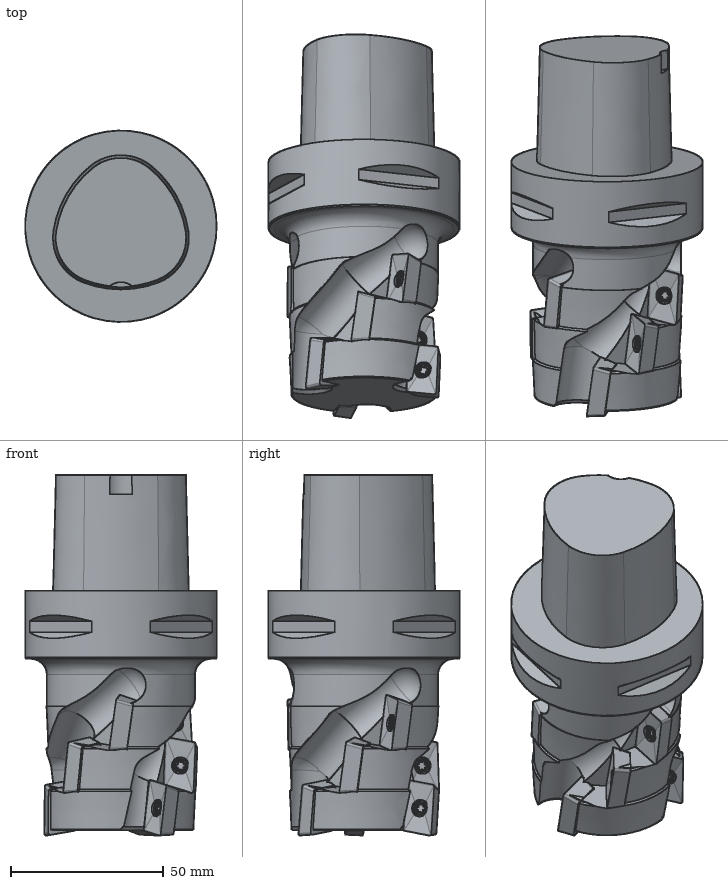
import cadquery as cq
import math

shank_height = 38.0
lobe_reach = 23.4
flat_reach = 20.8
lobe_radius = 15.7
lobe_angles = (90, 210, 330)
half_lobe_pitch = 60
diameter_taper = 1 / 20
taper_drop = shank_height * diameter_taper / 2
key_notch_radius = 5.5
key_notch_depth = 1.5
key_notch_height = 6.3

flange_radius = 31.5
flange_chamfer_start_z = -22.0
flange_bottom_z = -22.5
flange_bottom_radius = 31.2
groove_z = -11.9
groove_floor_reach = 28.0
groove_floor_half = 1.75
groove_mouth_half = 3.8
groove_overshoot = 1.0
groove_angles = (45, 135, 225, 315)

neck_radius = 24.4
neck_fillet = 5.1
row_top_radius = 24.5
row_bottom_radius = 23.9
ledge_height = 0.6
row_pitch = 14.0
top_row_start_z = -38.0
body_bottom_z = -78.8
bottom_chamfer = 0.4

flute_angles = (0, 120, 240)
row_count = 3
bottom_row_z = -71.4
bottom_row_azimuth = -176
row_twist = 40
cutting_radius = 25.2
axial_rake = 8.0
insert_width = 10.4
insert_thickness = 5.7
insert_long_corner = 9.4
insert_short_corner = 7.6
half_width = insert_width / 2
insert_corners = [
    (half_width, insert_short_corner),
    (-half_width, insert_long_corner),
    (-half_width, -insert_short_corner),
    (half_width, -insert_long_corner),
]
insert_corner_radius = 0.8
insert_clearance = 9.0
chip_hollow_depth = 0.8
chip_land = 0.3
screw_recess_diameter = 5.5
screw_recess_depth = 1.6
screw_head_diameter = 4.15
screw_head_height = 0.6
socket_diameter = 3.5
socket_lobes = 6
socket_lobe_radius = 0.5
socket_depth = 1.0
chip_space_depth = 5.0
landing_depth = 13.0
landing_top = 3.5

flute_radius = 7.0
flute_centre_reach = 20.7
flute_flare = 1.0
flute_flare_height = 1.2
flute_path = ((-192, body_bottom_z), (-184, -60), (-136, -44.5), (-85.5, -31.1))


def polar(reach, angle, z=0.0):
    return cq.Vector(reach * math.cos(math.radians(angle)), reach * math.sin(math.radians(angle)), z)


def shank_outline(inset, z):
    """Three rounded lobes joined by flatter tangent arcs, all moved inwards by the inset."""
    lobe_centre_reach = lobe_reach - lobe_radius
    reach_difference = flat_reach - lobe_radius
    flat_centre_reach = (lobe_centre_reach**2 - reach_difference**2) / (
        2 * reach_difference - lobe_centre_reach
    )
    flat_radius = flat_reach + flat_centre_reach
    to_lobe = polar(lobe_centre_reach, half_lobe_pitch) + cq.Vector(flat_centre_reach, 0)
    seam = to_lobe.normalized() * (flat_radius - inset) - cq.Vector(flat_centre_reach, 0)
    seam_from_flat = math.degrees(math.atan2(seam.y, seam.x))
    edges = []
    for lobe in lobe_angles:
        flat = lobe + half_lobe_pitch
        start = polar(seam.Length, lobe - half_lobe_pitch + seam_from_flat, z)
        middle = polar(seam.Length, flat - seam_from_flat, z)
        end = polar(seam.Length, flat + seam_from_flat, z)
        edges.append(cq.Edge.makeThreePointArc(start, polar(lobe_reach - inset, lobe, z), middle))
        edges.append(cq.Edge.makeThreePointArc(middle, polar(flat_reach - inset, flat, z), end))
    return cq.Wire.assembleEdges(edges)


def make_shank():
    base = shank_outline(0, 0)
    top = shank_outline(taper_drop, shank_height)
    shank = cq.Workplane(cq.Solid.makeLoft([base, top], True))
    notch_centre_y = -(flat_reach - taper_drop) + key_notch_depth - key_notch_radius
    notch = (
        cq.Workplane("XY", origin=(0, notch_centre_y, shank_height - key_notch_height))
        .circle(key_notch_radius)
        .extrude(key_notch_height)
    )
    return shank.cut(notch)


def make_turned_body():
    """Flange, filleted neck and stepped rows revolved about Z."""
    fillet_middle = neck_fillet * math.sqrt(0.5)
    profile = (
        cq.Workplane("XZ")
        .lineTo(flange_radius, 0)
        .lineTo(flange_radius, flange_chamfer_start_z)
        .lineTo(flange_bottom_radius, flange_bottom_z)
        .lineTo(neck_radius + neck_fillet, flange_bottom_z)
        .threePointArc(
            (neck_radius + neck_fillet - fillet_middle, flange_bottom_z - neck_fillet + fillet_middle),
            (neck_radius, flange_bottom_z - neck_fillet),
        )
        .lineTo(neck_radius, top_row_start_z)
    )
    for row in range(row_count):
        row_start_z = top_row_start_z - row * row_pitch
        is_last = row == row_count - 1
        row_end_z = body_bottom_z + bottom_chamfer if is_last else row_start_z - row_pitch + ledge_height
        profile = profile.lineTo(row_top_radius, row_start_z).lineTo(row_bottom_radius, row_end_z)
    profile = profile.lineTo(row_bottom_radius - bottom_chamfer, body_bottom_z).lineTo(0, body_bottom_z)
    return profile.close().revolve(360, (0, 0, 0), (0, 1, 0))


def make_gripper_groove(angle):
    """Groove with sloping upper and lower walls, straight across the flange at the given angle."""
    slope = (groove_mouth_half - groove_floor_half) / (flange_radius - groove_floor_reach)
    outer_reach = flange_radius + groove_overshoot
    outer_half = groove_floor_half + slope * (outer_reach - groove_floor_reach)
    return (
        cq.Workplane("XZ", origin=(0, 0, groove_z))
        .polyline([
            (groove_floor_reach, -groove_floor_half),
            (outer_reach, -outer_half),
            (outer_reach, outer_half),
            (groove_floor_reach, groove_floor_half),
        ])
        .close()
        .extrude(flange_radius, both=True)
        .rotate((0, 0, 0), (0, 0, 1), angle)
    )


def make_flute():
    """Round groove cutter: cylinders along the path, balls at its bends and end, a flare at its foot."""
    points = [polar(flute_centre_reach, azimuth, z) for azimuth, z in flute_path]
    cutter = cq.Workplane("XY")
    for start, end in zip(points, points[1:]):
        along = end - start
        cutter = cutter.union(
            cq.Workplane(cq.Solid.makeCylinder(flute_radius, along.Length, start, along))
        )
    for point in points[1:]:
        cutter = cutter.union(cq.Workplane("XY").sphere(flute_radius).translate(point.toTuple()))
    flare = cq.Solid.makeCone(
        flute_radius + flute_flare, flute_radius, flute_flare_height, points[0], cq.Vector(0, 0, 1)
    )
    return cutter.union(cq.Workplane(flare))


def insert_plane(row):
    """Plane of the rake face: x points outwards, y up along the insert, normal into the flute."""
    azimuth = bottom_row_azimuth + row * row_twist
    rake = math.radians(axial_rake)
    centre = polar(cutting_radius - half_width, azimuth, bottom_row_z + row * row_pitch)
    outwards = polar(1, azimuth)
    against_rotation = polar(1, azimuth - 90)
    normal = against_rotation * math.cos(rake) + cq.Vector(0, 0, math.sin(rake))
    return cq.Plane(origin=centre.toTuple(), xDir=outwards.toTuple(), normal=normal.toTuple())


def make_insert_blank():
    """Parallelogram insert with relieved flanks, its rake face on Z = 0."""
    return (
        cq.Workplane("XY")
        .polyline(insert_corners)
        .close()
        .extrude(-insert_thickness, taper=insert_clearance)
        .edges("not(<Z or >Z)")
        .fillet(insert_corner_radius)
    )


def make_insert():
    """Insert hollowed towards the middle of its rake face, with its screw sunk below the face."""
    hollow_half = screw_recess_diameter / 2 * math.sqrt(0.5)
    hollow = (
        cq.Workplane("XY")
        .polyline(insert_corners)
        .close()
        .offset2D(-chip_land, "intersection")
        .workplane(offset=-chip_hollow_depth)
        .rect(2 * hollow_half, 2 * hollow_half)
        .loft(ruled=True)
    )
    recess = cq.Workplane("XY").circle(screw_recess_diameter / 2).extrude(-screw_recess_depth)
    head = (
        cq.Workplane("XY", origin=(0, 0, -screw_recess_depth))
        .circle(screw_head_diameter / 2)
        .extrude(screw_head_height)
    )
    lobe_centre_reach = socket_diameter / 2 - socket_lobe_radius
    socket = (
        cq.Workplane("XY", origin=(0, 0, -screw_recess_depth + screw_head_height))
        .circle(lobe_centre_reach)
        .extrude(-socket_depth)
        .union(
            cq.Workplane("XY", origin=(0, 0, -screw_recess_depth + screw_head_height))
            .polarArray(lobe_centre_reach, 0, 360, socket_lobes)
            .circle(socket_lobe_radius)
            .extrude(-socket_depth)
        )
    )
    return make_insert_blank().cut(hollow).cut(recess).union(head).cut(socket)


def make_chip_space():
    """Open space in front of the rake face, with a flat inner wall."""
    return cq.Workplane("XY").polyline(insert_corners).close().extrude(chip_space_depth)


def make_landing():
    """Deeper space in front of the lower part, freeing the end of the insert one row down."""
    lower_corners = [
        (half_width, landing_top),
        (-half_width, landing_top),
        (-half_width, -insert_short_corner),
        (half_width, -insert_long_corner),
    ]
    return cq.Workplane("XY").polyline(lower_corners).close().extrude(landing_depth)


def place(shape, row, flute_angle):
    """Move a shape from the insert's own axes to its row and flute."""
    located = shape.val().moved(cq.Location(insert_plane(row)))
    return cq.Workplane(located.rotate(cq.Vector(0, 0, 0), cq.Vector(0, 0, 1), flute_angle))


body = make_shank().union(make_turned_body())
for angle in groove_angles:
    body = body.cut(make_gripper_groove(angle))

flute = make_flute()
insert_blank = make_insert_blank()
chip_space = make_chip_space()
landing = make_landing()
insert = make_insert()
inserts = []
for flute_angle in flute_angles:
    body = body.cut(flute.rotate((0, 0, 0), (0, 0, 1), flute_angle))
    for row in range(row_count):
        body = body.cut(place(chip_space, row, flute_angle))
        if row > 0:
            body = body.cut(place(landing, row, flute_angle))
        body = body.cut(place(insert_blank, row, flute_angle))
        inserts.append(place(insert, row, flute_angle).val())

result = cq.Compound.makeCompound([body.solids().val(), *inserts])